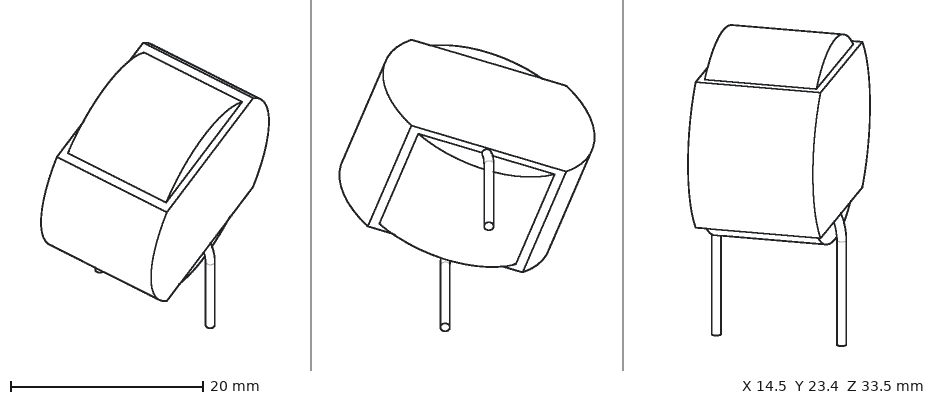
import cadquery as cq
import math

total_height = 33.45
body_diameter = 23.42
body_height = 16.0
body_thickness = 13.45
core_diameter = 21.98
core_thickness = 12.0

lead_diameter = 1.0
lead_span = 14.5
lead_bend_radius = 6.7
lead_bend_angle = 30.0

lead_x = (lead_span - lead_diameter) / 2
bend_start_z = -core_diameter / 2
lead_bottom_z = core_diameter / 2 - total_height


def disc(diameter, thickness):
    """Disc centred on the origin with its axis along X."""
    return cq.Workplane("YZ").circle(diameter / 2).extrude(thickness / 2, both=True)


def flattened_body():
    """Outer disc cut to flats at the top and bottom."""
    flats = cq.Workplane("XY").box(body_thickness, body_diameter, body_height)
    return disc(body_diameter, body_thickness).intersect(flats)


def lead(side):
    """Round wire rising straight, then bending inward into the body; side is -1 or 1."""

    def bend_point(angle):
        inward = lead_bend_radius * (1 - math.cos(math.radians(angle)))
        rise = lead_bend_radius * math.sin(math.radians(angle))
        return (side * (lead_x - inward), bend_start_z + rise)

    path = (
        cq.Workplane("XZ")
        .moveTo(side * lead_x, lead_bottom_z)
        .lineTo(side * lead_x, bend_start_z)
        .threePointArc(bend_point(lead_bend_angle / 2), bend_point(lead_bend_angle))
    )
    profile = cq.Workplane("XY", origin=(side * lead_x, 0, lead_bottom_z)).circle(lead_diameter / 2)
    return profile.sweep(path)


result = flattened_body().union(disc(core_diameter, core_thickness))
for lead_side in (-1, 1):
    result = result.union(lead(lead_side))